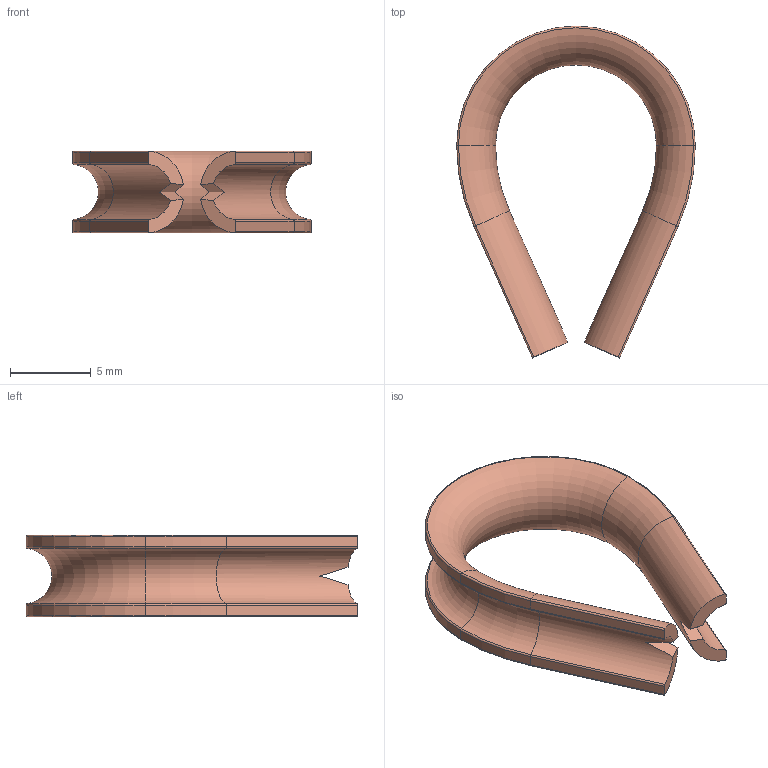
import cadquery as cq
import math

crown_radius = 7.4
overall_length = 20.58
leg_angle = 24.0
shoulder_radius = 12.4

channel_radius = 2.545
groove_radius = 1.72
section_depth = 2.42
lip_rounding = 0.1

notch_tip_y = -10.82
notch_angle = 35.0

centre_offset = channel_radius - section_depth
lip_outer_height = math.sqrt(channel_radius**2 - centre_offset**2)
lip_inner_height = math.sqrt(groove_radius**2 - centre_offset**2)
groove_depth = groove_radius - centre_offset

sin_leg = math.sin(math.radians(leg_angle))
cos_leg = math.cos(math.radians(leg_angle))
half_angle = math.radians(leg_angle / 2)
shoulder_centre_x = crown_radius - shoulder_radius
shoulder_mid = (
    shoulder_centre_x + shoulder_radius * math.cos(half_angle),
    -shoulder_radius * math.sin(half_angle),
)
leg_top = (shoulder_centre_x + shoulder_radius * cos_leg, -shoulder_radius * sin_leg)
leg_end_y = crown_radius - overall_length
leg_end = (leg_top[0] + (leg_end_y - leg_top[1]) * sin_leg / cos_leg, leg_end_y)


def mirrored(point):
    """The matching point on the left-hand side."""
    return (-point[0], point[1])


def leg_end_plane():
    """Plane of the right leg's end: local X points inward, local Z up the leg."""
    return cq.Plane(
        origin=(leg_end[0], leg_end[1], 0),
        xDir=(-cos_leg, sin_leg, 0),
        normal=(sin_leg, cos_leg, 0),
    )


def outline_path():
    """Outer edge from the right leg's end, over the crown, to the left leg's end."""
    return (
        cq.Workplane("XY")
        .moveTo(*leg_end)
        .lineTo(*leg_top)
        .threePointArc(shoulder_mid, (crown_radius, 0))
        .threePointArc((0, crown_radius), (-crown_radius, 0))
        .threePointArc(mirrored(shoulder_mid), mirrored(leg_top))
        .lineTo(*mirrored(leg_end))
    )


def channel_section():
    """C-shaped section; its depth runs along +X from the outer edge at X = 0."""
    return (
        cq.Sketch()
        .segment((0, lip_inner_height), (0, lip_outer_height))
        .arc((0, lip_outer_height), (section_depth, 0), (0, -lip_outer_height))
        .segment((0, -lip_outer_height), (0, -lip_inner_height))
        .arc((0, -lip_inner_height), (groove_depth, 0), (0, lip_inner_height))
        .assemble()
        .vertices()
        .fillet(lip_rounding)
    )


def end_notch():
    """V-shaped cutter running across both legs along X, tip toward the crown."""
    notch_half_height = (notch_tip_y - leg_end_y) * math.tan(math.radians(notch_angle / 2))
    return (
        cq.Workplane("YZ")
        .polyline([(leg_end_y, -notch_half_height), (notch_tip_y, 0), (leg_end_y, notch_half_height)])
        .close()
        .extrude(crown_radius, both=True)
    )


body = cq.Workplane(leg_end_plane()).placeSketch(channel_section()).sweep(outline_path())
result = body.cut(end_notch())